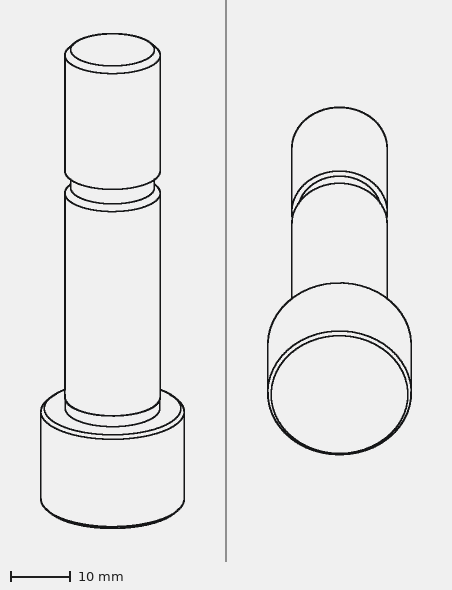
import cadquery as cq

total_length = 82.0
head_diameter = 24.0
head_height = 17.0
head_chamfer = 0.6

shank_diameter = 16.0
neck_diameter = 15.8
neck_length = 2.0
groove_diameter = 14.0
groove_width = 3.0
tip_length = 22.0
shank_chamfer = 1.0

neck_top = head_height + neck_length
groove_top = total_length - tip_length
groove_bottom = groove_top - groove_width


def cylinder(diameter, bottom, top):
    """Cylinder on the Z axis between two levels."""
    return cq.Workplane("XY").workplane(offset=bottom).circle(diameter / 2).extrude(top - bottom)


head = cylinder(head_diameter, 0, head_height).edges().chamfer(head_chamfer)

neck = cylinder(neck_diameter, head_height, neck_top)
body = cylinder(shank_diameter, neck_top, groove_bottom).faces(">Z").edges().chamfer(shank_chamfer)
groove_core = cylinder(groove_diameter, groove_bottom, groove_top)
tip = cylinder(shank_diameter, groove_top, total_length).faces(">Z").edges().chamfer(shank_chamfer)

result = head.union(neck).union(body).union(groove_core).union(tip)